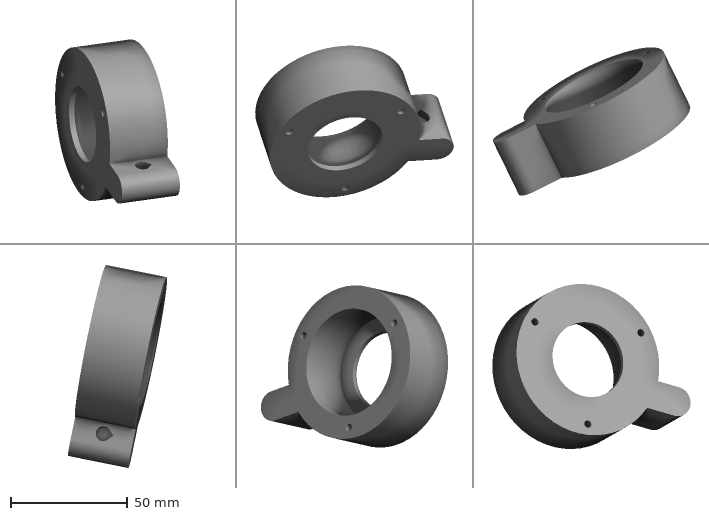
import cadquery as cq
import math

body_radius = 33.3
body_depth = 26.5
front_y = -body_depth / 2

lip_radius = 16.5
lip_depth = 2.5
bore_radius = 23.25

screw_circle_radius = 28.5
screw_hole_radius = 1.6
screw_count = 3
first_screw_angle = 30.0

overall_length = 81.3
tab_end_radius = 6.5
tab_slope = 10.0
tab_end_x = overall_length - body_radius - tab_end_radius
tab_end_z = -14.5
tab_length = 32.5

drop_radius = 3.2
drop_depth = 4.0
drop_setback = 5.3


def cylinder_y(radius, start_y, depth, x=0.0, z=0.0):
    """Cylinder that runs from start_y towards +Y."""
    return cq.Workplane(cq.Solid.makeCylinder(
        radius, depth, cq.Vector(x, start_y, z), cq.Vector(0, 1, 0)))


def make_tab():
    """Straight tab whose round end is centred at the local origin, tilted and moved into place."""
    block = cq.Workplane("XY").box(
        tab_length, body_depth, 2 * tab_end_radius).translate((-tab_length / 2, 0, 0))
    tab = block.union(cylinder_y(tab_end_radius, front_y, body_depth))
    return place_on_tab(tab)


def make_drop_pocket():
    """Round hole with a 45 degree point towards +Y, sunk into the upper tab face."""
    tangent = drop_radius * math.sqrt(0.5)
    tip = drop_radius * math.sqrt(2)
    pocket = (
        cq.Workplane("XY", origin=(-drop_setback, 0, tab_end_radius))
        .moveTo(-tangent, tangent)
        .threePointArc((0, -drop_radius), (tangent, tangent))
        .lineTo(0, tip)
        .close()
        .extrude(-drop_depth)
    )
    return place_on_tab(pocket)


def place_on_tab(shape):
    """Tilt a shape about the Y axis and move its origin to the tab end centre."""
    tilted = shape.rotate((0, 0, 0), (0, 1, 0), tab_slope)
    return tilted.translate((tab_end_x, 0, tab_end_z))


result = cylinder_y(body_radius, front_y, body_depth).union(make_tab())
result = result.cut(make_drop_pocket())

result = result.cut(cylinder_y(lip_radius, front_y, body_depth))
result = result.cut(cylinder_y(bore_radius, front_y + lip_depth, body_depth - lip_depth))

for index in range(screw_count):
    angle = math.radians(first_screw_angle + index * 360 / screw_count)
    screw_x = screw_circle_radius * math.cos(angle)
    screw_z = screw_circle_radius * math.sin(angle)
    result = result.cut(cylinder_y(screw_hole_radius, front_y, body_depth, screw_x, screw_z))